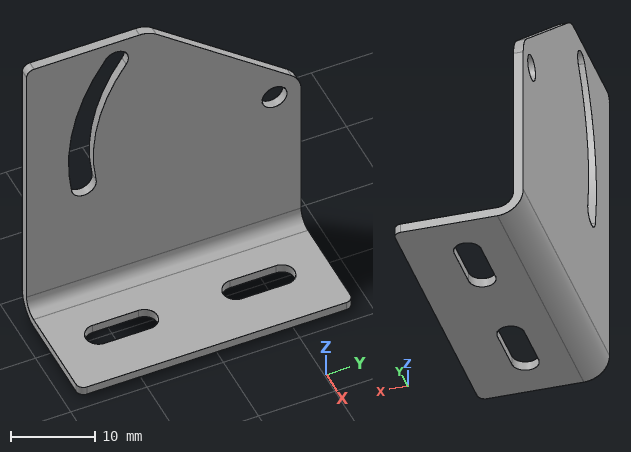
import cadquery as cq
import math

depth = 16.2
width = 36.0
height = 41.0
thickness = 1.25
bend_radius = 3.2
corner_radius = 1.0

pivot_edge_distance = 3.5
pivot_y = width - pivot_edge_distance
pivot_z = 23.2
hole_diameter = 3.25
slope_top_y = 14.8

arc_radius = 25.38
arc_angle_up = 35.0
arc_angle_down = 10.0

foot_slot_length = 9.35
foot_slot_width = 3.32
foot_slot_x = 8.7


def bent_sheet():
    """L-shaped sheet with an upright at X = 0 and a foot at Z = 0."""
    inner_radius = bend_radius - thickness
    bend_mid = bend_radius * (1 - math.sqrt(0.5))
    inner_mid = bend_radius - inner_radius * math.sqrt(0.5)
    return (
        cq.Workplane("XZ")
        .moveTo(0, height)
        .lineTo(0, bend_radius)
        .threePointArc((bend_mid, bend_mid), (bend_radius, 0))
        .lineTo(depth, 0)
        .lineTo(depth, thickness)
        .lineTo(bend_radius, thickness)
        .threePointArc((inner_mid, inner_mid), (thickness, bend_radius))
        .lineTo(thickness, height)
        .close()
        .extrude(-width)
    )


def upright_outline():
    """Full-depth block bounded by the rounded outline of the upright."""
    radius = pivot_edge_distance
    round_z = height - radius
    slope = math.atan2(round_z - pivot_z, pivot_y - slope_top_y)

    def on_round(center_y, center_z, angle):
        return (center_y + radius * math.sin(angle), center_z + radius * math.cos(angle))

    top_corner_mid = corner_radius * (1 - math.sqrt(0.5))
    return (
        cq.Workplane("YZ")
        .moveTo(0, 0)
        .lineTo(width, 0)
        .lineTo(width, pivot_z)
        .threePointArc(
            on_round(pivot_y, pivot_z, (slope + math.pi / 2) / 2),
            on_round(pivot_y, pivot_z, slope),
        )
        .lineTo(*on_round(slope_top_y, round_z, slope))
        .threePointArc(on_round(slope_top_y, round_z, slope / 2), (slope_top_y, height))
        .lineTo(corner_radius, height)
        .threePointArc((top_corner_mid, height - top_corner_mid), (0, height - corner_radius))
        .close()
        .extrude(depth)
    )


def arc_slot():
    """Cutter for the curved slot, swept about the pivot with round ends."""

    def at(radius, degrees):
        angle = math.radians(degrees)
        return (pivot_y - radius * math.cos(angle), pivot_z + radius * math.sin(angle))

    inner = arc_radius - hole_diameter / 2
    outer = arc_radius + hole_diameter / 2
    middle_angle = (arc_angle_up - arc_angle_down) / 2
    ends = [at(arc_radius, arc_angle_up), at(arc_radius, -arc_angle_down)]
    band = (
        cq.Workplane("YZ")
        .moveTo(*at(inner, -arc_angle_down))
        .threePointArc(at(inner, middle_angle), at(inner, arc_angle_up))
        .lineTo(*at(outer, arc_angle_up))
        .threePointArc(at(outer, middle_angle), at(outer, -arc_angle_down))
        .close()
        .extrude(thickness)
    )
    round_ends = cq.Workplane("YZ").pushPoints(ends).circle(hole_diameter / 2).extrude(thickness)
    return band.union(round_ends)


def pivot_hole():
    return (
        cq.Workplane("YZ")
        .center(pivot_y, pivot_z)
        .circle(hole_diameter / 2)
        .extrude(thickness)
    )


def foot_slots():
    """Cutters for two slots at the quarter points of the width."""
    return (
        cq.Workplane("XY")
        .pushPoints([(foot_slot_x, width / 4), (foot_slot_x, 3 * width / 4)])
        .slot2D(foot_slot_length, foot_slot_width, 90)
        .extrude(thickness)
    )


sheet = bent_sheet().edges("|Z and >X").fillet(corner_radius)
upright_and_foot = sheet.intersect(upright_outline())
result = upright_and_foot.cut(arc_slot()).cut(pivot_hole()).cut(foot_slots())